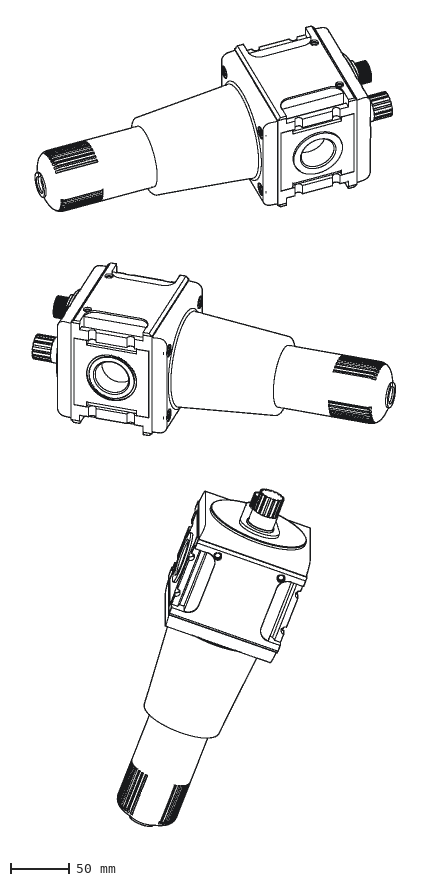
import cadquery as cq
import math


BLOCK_HALF_X = 50.0
BLOCK_HALF_Y = 36.7
BLOCK_HALF_Z = 49.0
PAD_INSET_X = 0.15
PAD_HALF_X = BLOCK_HALF_X - PAD_INSET_X
PAD_HALF_Y = 34.0
PAD_TOP_Z = 51.5

CAP_END_Y = 49.5
CAP_HALF_Z = 47.5
CAP_END_HALF_X = 48.0
CAP_BASE_HALF_X = 49.3
CAP_FILLET = 6.8

RAIL_HALF_Y = 28.5
RELIEF_INNER_X = 28.5
RELIEF_FLOOR_Z = 50.0
RELIEF_CORNER_RADIUS = 9.5
RAIL_WALL_X = 38.5
LIP_TOP_Z = 43.0
LIP_TOP_INNER_X = 44.5
LIP_FOOT_X = 42.5
RAIL_GROOVE_FLOOR_Z = 37.0

PANEL_DEPTH = 0.3
PANEL_HALF_Y = 33.8
PANEL_HALF_Z = 33.5
SLOT_HALF_Y = 22.5
SLOT_FLOOR_Z = 28.5
SLOT_DEPTH = 3.5
CHANNEL_DIAMETER = 6.8
CHANNEL_HALF_SPACING = 17.5

PORT_DIAMETER = 30.3
PORT_RIM_DIAMETER = 33.0
PORT_DEPTH = 19.3
SEAL_OUTER_DIAMETER = 45.0
SEAL_INNER_DIAMETER = 41.0
SEAL_DEPTH = 1.3
BOSS_END_X = 51.5

DIMPLE_DIAMETER = 6.8
DIMPLE_DEPTH = 2.0
DIMPLE_CORE_DIAMETER = 4.8
DIMPLE_CORE_DEPTH = 4.0
DIMPLE_X = 29.0
DIMPLE_Y = 28.5

SCREW_X = 42.0
SCREW_Z = 32.5
SCREW_HOLE_DIAMETER = 11.0
SCREW_HEAD_DIAMETER = 10.0
SCREW_HOLE_DEPTH = 3.2
SCREW_HEAD_DROP = 0.5
SOCKET_DIAMETER = 4.8
SOCKET_DEPTH = 2.5
LOBE_COUNT = 6
LOBE_DIAMETER = 1.3

REAR_DISC_DIAMETER = 87.5
REAR_DISC_END_Y = 52.2
REAR_DISC_CHAMFER = 0.5
PLATE_END_Y = 54.7
KNOB_Z = -14.0
KNOB_PLATE_DIAMETER = 36.0
PLUG_Z = 30.0
PLUG_PLATE_DIAMETER = 25.0
KNOB_FLANGE_DIAMETER = 24.5
KNOB_FLANGE_END_Y = 56.5
KNOB_COLLAR_DIAMETER = 22.5
KNOB_COLLAR_END_Y = 68.3
KNOB_DIAMETER = 22.0
KNOB_END_Y = 85.0
KNOB_FLUTES = 16
KNOB_FLUTE_WIDTH = 1.5
KNOB_FLUTE_DEPTH = 1.3
PLUG_DIAMETER = 19.0
PLUG_GRIP_START_Y = 56.0
PLUG_END_Y = 66.3
PLUG_FLUTES = 40
PLUG_FLUTE_WIDTH = 0.5
PLUG_FLUTE_DEPTH = 0.5

BOWL_RIM_RADIUS = 44.0
GUARD_TOP_RADIUS = 42.0
RIM_HEIGHT = 1.5
GUARD_END_RADIUS = 34.5
GUARD_END_Y = -139.0
GUARD_FILLET = 1.5
SLEEVE_RADIUS = 27.0
DOME_EDGE_Y = -228.3
DOME_FILLET = 9.3
TIP_RADIUS = 11.0
TIP_CONE_Y = -235.5
TIP_END_Y = -237.0
DRAIN_DIAMETER = 14.8
DRAIN_DEPTH = 1.5
KEY_WIDTH = 5.0

GRIP_PATCHES = 3
GRIP_GROOVES = 8
GRIP_PITCH = 8.6
GRIP_GROOVE_WIDTH = 2.0
GRIP_GROOVE_DEPTH = 1.5
GRIP_START_Y = -189.0
GRIP_END_Y = -227.3

MIRROR_SIGNS = (-1, 1)


def box(x_range, y_range, z_range):
    """Axis-aligned box between the given pairs of limits."""
    size = [high - low for low, high in (x_range, y_range, z_range)]
    return cq.Workplane("XY").box(*size, centered=False).translate((x_range[0], y_range[0], z_range[0]))


def disc_y(diameter, start_y, end_y, x=0, z=0):
    """Cylinder along Y from start_y up to end_y."""
    plane = cq.Workplane(cq.Plane((x, start_y, z), (1, 0, 0), (0, 1, 0)))
    return plane.circle(diameter / 2).extrude(end_y - start_y)


def disc_x(diameter, start_x, end_x):
    """Cylinder on the port axis from start_x to end_x."""
    return cq.Workplane("YZ").workplane(offset=start_x).circle(diameter / 2).extrude(end_x - start_x)


def mirrored_xz(shape):
    """The shape with its mirror images in the YZ plane, the XY plane and both."""
    pair = shape.union(shape.mirror("YZ"))
    return pair.union(pair.mirror("XY"))


def make_block():
    """Central block with a bevelled pad on its top and bottom."""
    outline = [
        (-BLOCK_HALF_Y, BLOCK_HALF_Z),
        (-PAD_HALF_Y, PAD_TOP_Z),
        (PAD_HALF_Y, PAD_TOP_Z),
        (BLOCK_HALF_Y, BLOCK_HALF_Z),
    ]
    pad = cq.Workplane("YZ").polyline(outline).close().extrude(PAD_HALF_X, both=True)
    block = cq.Workplane("XY").box(2 * BLOCK_HALF_X, 2 * BLOCK_HALF_Y, 2 * BLOCK_HALF_Z)
    return block.union(pad).union(pad.mirror("XY"))


def make_caps():
    """Both end caps, rounded along X and narrowing towards their ends."""
    bar = cq.Workplane("XY").box(2 * CAP_BASE_HALF_X, 2 * CAP_END_Y, 2 * CAP_HALF_Z)
    bar = bar.edges("|X").fillet(CAP_FILLET)
    half_plan = [
        (-CAP_BASE_HALF_X, 0),
        (-CAP_BASE_HALF_X, BLOCK_HALF_Y),
        (-CAP_END_HALF_X, CAP_END_Y),
        (CAP_END_HALF_X, CAP_END_Y),
        (CAP_BASE_HALF_X, BLOCK_HALF_Y),
        (CAP_BASE_HALF_X, 0),
    ]
    draft = cq.Workplane("XY").polyline(half_plan).close().extrude(CAP_HALF_Z, both=True)
    return bar.intersect(draft.union(draft.mirror("XZ")))


def rail_cutter():
    """Relief, rail groove, slot and screw channels of the rail on the +X, +Z edge."""
    relief = box(
        (RELIEF_INNER_X, BLOCK_HALF_X), (-RAIL_HALF_Y, RAIL_HALF_Y), (RELIEF_FLOOR_Z, PAD_TOP_Z)
    )
    relief = relief.edges("|Z and <X").fillet(RELIEF_CORNER_RADIUS)
    section = [
        (RAIL_WALL_X, PAD_TOP_Z),
        (RAIL_WALL_X, RAIL_GROOVE_FLOOR_Z),
        (LIP_FOOT_X, RAIL_GROOVE_FLOOR_Z),
        (LIP_TOP_INNER_X, LIP_TOP_Z),
        (BLOCK_HALF_X, LIP_TOP_Z),
        (BLOCK_HALF_X, PAD_TOP_Z),
    ]
    groove = cq.Workplane("XZ").polyline(section).close().extrude(RAIL_HALF_Y, both=True)
    slot = box(
        (BLOCK_HALF_X - SLOT_DEPTH, BLOCK_HALF_X), (-SLOT_HALF_Y, SLOT_HALF_Y), (SLOT_FLOOR_Z, PANEL_HALF_Z)
    )
    channels = (
        cq.Workplane("XY")
        .workplane(offset=PANEL_HALF_Z)
        .pushPoints([(BLOCK_HALF_X, sign * CHANNEL_HALF_SPACING) for sign in MIRROR_SIGNS])
        .circle(CHANNEL_DIAMETER / 2)
        .extrude(LIP_TOP_Z - PANEL_HALF_Z)
    )
    return relief.union(groove).union(slot).union(channels)


def panel_cutter():
    """Shallow rectangular panels in both side faces."""
    panel = box(
        (BLOCK_HALF_X - PANEL_DEPTH, BLOCK_HALF_X),
        (-PANEL_HALF_Y, PANEL_HALF_Y),
        (-PANEL_HALF_Z, PANEL_HALF_Z),
    )
    return panel.union(panel.mirror("YZ"))


def port_cutter(face_x):
    """Blind port with a chamfered rim, entering from a -X face at face_x."""
    bore = disc_x(PORT_DIAMETER, face_x, PORT_DEPTH - BLOCK_HALF_X)
    rim_depth = (PORT_RIM_DIAMETER - PORT_DIAMETER) / 2
    mouth = cq.Workplane("YZ").workplane(offset=face_x).circle(PORT_RIM_DIAMETER / 2)
    rim = mouth.workplane(offset=rim_depth).circle(PORT_DIAMETER / 2).loft()
    return bore.union(rim)


def seal_groove():
    """Ring groove round the port in the -X face."""
    start_x = -BLOCK_HALF_X
    end_x = start_x + PANEL_DEPTH + SEAL_DEPTH
    return disc_x(SEAL_OUTER_DIAMETER, start_x, end_x).cut(disc_x(SEAL_INNER_DIAMETER, start_x, end_x))


def hole_z(diameter, depth):
    """Blind hole straight down from the top pad at the dimple position."""
    plane = cq.Workplane("XY").workplane(offset=PAD_TOP_Z - depth)
    return plane.center(DIMPLE_X, DIMPLE_Y).circle(diameter / 2).extrude(depth)


def dimple_cutter():
    """Small stepped blind holes in the top and bottom faces."""
    dimple = hole_z(DIMPLE_DIAMETER, DIMPLE_DEPTH)
    return mirrored_xz(dimple.union(hole_z(DIMPLE_CORE_DIAMETER, DIMPLE_CORE_DEPTH)))


def screw_cutter():
    """Clearance round the sunk cap screw heads, with their six-lobed sockets."""
    face_y = -CAP_END_Y
    head_y = face_y + SCREW_HEAD_DROP
    well = disc_y(SCREW_HOLE_DIAMETER, face_y, face_y + SCREW_HOLE_DEPTH, SCREW_X, SCREW_Z)
    head = disc_y(SCREW_HEAD_DIAMETER, head_y, face_y + SCREW_HOLE_DEPTH, SCREW_X, SCREW_Z)
    socket = disc_y(SOCKET_DIAMETER, head_y, head_y + SOCKET_DEPTH, SCREW_X, SCREW_Z)
    for lobe in range(LOBE_COUNT):
        angle = math.tau * lobe / LOBE_COUNT
        lobe_x = SCREW_X + SOCKET_DIAMETER / 2 * math.cos(angle)
        lobe_z = SCREW_Z + SOCKET_DIAMETER / 2 * math.sin(angle)
        socket = socket.union(disc_y(LOBE_DIAMETER, head_y, head_y + SOCKET_DEPTH, lobe_x, lobe_z))
    return mirrored_xz(well.cut(head).union(socket))


def fluted_disc(diameter, flutes, width, depth, start_y, end_y, z):
    """Knob along Y with straight flutes cut into its rim."""
    knob = disc_y(diameter, start_y, end_y, 0, z)
    flute = box((-width / 2, width / 2), (start_y, end_y), (diameter / 2 - depth, diameter)).val()
    cutters = []
    for index in range(flutes):
        angle = 360 * (index + 0.5) / flutes
        cutters.append(flute.rotate((0, 0, 0), (0, 1, 0), angle).translate((0, 0, z)))
    return knob.cut(cq.Workplane(cq.Compound.makeCompound(cutters)))


def tapered_plate():
    """Plate with two round ends of different size joined by tangents."""
    knob_radius = KNOB_PLATE_DIAMETER / 2
    plug_radius = PLUG_PLATE_DIAMETER / 2
    tilt = math.asin((knob_radius - plug_radius) / (PLUG_Z - KNOB_Z))
    knob_tangent = (knob_radius * math.cos(tilt), KNOB_Z + knob_radius * math.sin(tilt))
    plug_tangent = (plug_radius * math.cos(tilt), PLUG_Z + plug_radius * math.sin(tilt))
    return (
        cq.Workplane("XZ", origin=(0, PLATE_END_Y, 0))
        .moveTo(*knob_tangent)
        .lineTo(*plug_tangent)
        .threePointArc((0, PLUG_Z + plug_radius), (-plug_tangent[0], plug_tangent[1]))
        .lineTo(-knob_tangent[0], knob_tangent[1])
        .threePointArc((0, KNOB_Z - knob_radius), knob_tangent)
        .close()
        .extrude(PLATE_END_Y - CAP_END_Y)
    )


def make_rear_fittings():
    """Disc, plate, adjusting knob and filler plug on the rear cap."""
    fittings = disc_y(REAR_DISC_DIAMETER, CAP_END_Y, REAR_DISC_END_Y).faces(">Y").chamfer(REAR_DISC_CHAMFER)
    fittings = fittings.union(tapered_plate())
    fittings = fittings.union(disc_y(KNOB_FLANGE_DIAMETER, PLATE_END_Y, KNOB_FLANGE_END_Y, 0, KNOB_Z))
    fittings = fittings.union(disc_y(KNOB_COLLAR_DIAMETER, PLATE_END_Y, KNOB_COLLAR_END_Y, 0, KNOB_Z))
    fittings = fittings.union(disc_y(PLUG_DIAMETER, PLATE_END_Y, PLUG_GRIP_START_Y, 0, PLUG_Z))
    knob = fluted_disc(
        KNOB_DIAMETER, KNOB_FLUTES, KNOB_FLUTE_WIDTH, KNOB_FLUTE_DEPTH, KNOB_COLLAR_END_Y, KNOB_END_Y, KNOB_Z
    )
    plug = fluted_disc(
        PLUG_DIAMETER, PLUG_FLUTES, PLUG_FLUTE_WIDTH, PLUG_FLUTE_DEPTH, PLUG_GRIP_START_Y, PLUG_END_Y, PLUG_Z
    )
    return fittings.union(knob).union(plug)


def make_housing():
    """Housing with caps, rails, ports, screws and the rear fittings."""
    housing = make_block().union(make_caps())
    housing = housing.cut(mirrored_xz(rail_cutter())).cut(panel_cutter())
    housing = housing.union(disc_x(SEAL_OUTER_DIAMETER, BLOCK_HALF_X - PANEL_DEPTH, BOSS_END_X))
    housing = housing.cut(port_cutter(PANEL_DEPTH - BLOCK_HALF_X))
    housing = housing.cut(port_cutter(-BOSS_END_X).mirror("YZ"))
    housing = housing.cut(seal_groove()).cut(dimple_cutter()).cut(screw_cutter())
    return housing.union(make_rear_fittings()).solids()


def bowl_shell():
    """Tapered guard with a domed cylindrical sleeve below it, turned about Y."""
    rim_y = -CAP_END_Y
    guard_profile = [
        (0, rim_y),
        (BOWL_RIM_RADIUS, rim_y),
        (GUARD_TOP_RADIUS, rim_y - RIM_HEIGHT),
        (GUARD_END_RADIUS, GUARD_END_Y),
        (0, GUARD_END_Y),
    ]
    sleeve_profile = [
        (0, GUARD_END_Y),
        (SLEEVE_RADIUS, GUARD_END_Y),
        (SLEEVE_RADIUS, DOME_EDGE_Y),
        (TIP_RADIUS, TIP_CONE_Y),
        (0, TIP_CONE_Y),
    ]
    guard = cq.Workplane("XY").polyline(guard_profile).close().revolve(360, (0, 0), (0, 1))
    guard = guard.faces("<Y").edges().fillet(GUARD_FILLET)
    sleeve = cq.Workplane("XY").polyline(sleeve_profile).close().revolve(360, (0, 0), (0, 1))
    dome_edge = cq.selectors.BoxSelector(
        (-SLEEVE_RADIUS, DOME_EDGE_Y - DOME_FILLET / 2, -SLEEVE_RADIUS),
        (SLEEVE_RADIUS, DOME_EDGE_Y + DOME_FILLET / 2, SLEEVE_RADIUS),
    )
    sleeve = sleeve.edges(dome_edge).fillet(DOME_FILLET)
    return guard.union(sleeve).union(disc_y(2 * TIP_RADIUS, TIP_END_Y, TIP_CONE_Y))


def grip_cutter():
    """Three patches of lengthwise grooves, the first one centred on +Z."""
    groove = box(
        (-GRIP_GROOVE_WIDTH / 2, GRIP_GROOVE_WIDTH / 2),
        (GRIP_END_Y, GRIP_START_Y),
        (SLEEVE_RADIUS - GRIP_GROOVE_DEPTH, SLEEVE_RADIUS + GRIP_GROOVE_DEPTH),
    )
    grooves = []
    for patch in range(GRIP_PATCHES):
        for index in range(GRIP_GROOVES):
            angle = 360 * patch / GRIP_PATCHES + GRIP_PITCH * (index - (GRIP_GROOVES - 1) / 2)
            grooves.append(groove.val().rotate((0, 0, 0), (0, 1, 0), angle))
    return cq.Workplane(cq.Compound.makeCompound(grooves))


def drain_cutter():
    """Keyhole-shaped drain opening in the tip."""
    drain_top_y = TIP_END_Y + DRAIN_DEPTH
    drain = disc_y(DRAIN_DIAMETER, TIP_END_Y, drain_top_y)
    key = box((-KEY_WIDTH / 2, KEY_WIDTH / 2), (TIP_END_Y, drain_top_y), (0, TIP_RADIUS))
    return drain.union(key)


def make_bowl():
    """Bowl with its grip patches and drain opening."""
    return bowl_shell().cut(grip_cutter()).cut(drain_cutter()).solids()


housing = make_housing()
bowl = make_bowl()
result = cq.Compound.makeCompound([housing.val(), bowl.val()])